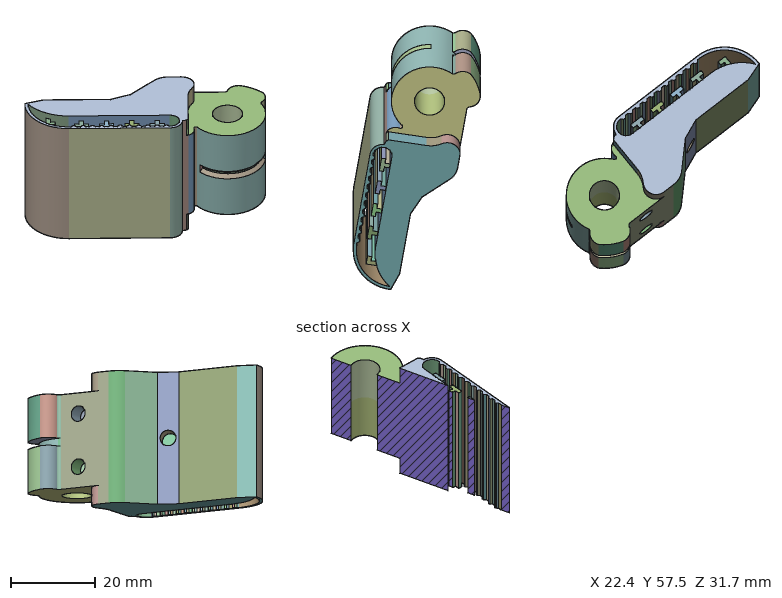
import cadquery as cq
import math

blade_tilt = math.radians(18)

blade_height = 31.7
arm_height = 22.75
grip_recess = 1.5

knuckle_radius = 9.0
bore_diameter = 7.1
tab_radius = 12.05
tab_start_angle = 117
tab_end_angle = 145.7
tab_foot_along = 0.85
tab_foot_angle = 100
neck_angle = -70.7

tab_foot_middle = (-8.75, 2.4)
tab_left_start = (-8.95, 3.0)
tab_left_middle = (-10.35, 5.25)
tab_right_middle = (-3.5, 10.65)
tab_right_end = (-2.1, 9.35)
tab_fillet_middle = (-1.9, 9.1)
notch_middle = (2.65, -8.85)
shoulder_start = (3.0, -9.4)
shoulder_middle = (4.65, -10.1)
shoulder_end = (5.35, -11.45)
shoulder_bottom = -13.05

slot_height = 1.9
groove_depth = 0.85
groove_floor = 0.4
groove_start_angle = -65
groove_sweep = 130

blade_top = 9.35
nose_radius = 3.05
nose_along = 10.85
nose_blend_radius = 6.3
flank_end_along = 13.75
strap_thickness = 0.75
pocket_radius = 2.25
pocket_along = 13.75
bend_along = 37.6

heel = (-13.4, -46.05)
heel_top = -41.3
waist_bottom = (-8.5, -26.25)
waist_top = (-8.9, -21.15)
hip_end = (-12.5, -14.15)
hip_middle = (-13.1, -11.85)
top_edge_end = (5.05, -11.5)
top_corner_bottom = -12.05
pocket_curve_middle = (-7.65, -42.05)
pocket_tip = (-12.75, -45.4)

grip_count = 4
grip_first = 16.7
grip_pitch = 6.0
grip_length = 3.35
grip_thickness = 1.05
last_grip_top = 40.8
last_grip_bottom = 42.95
last_grip_outer = 8.15
last_stem_root = 4.6
stem_overlap = 0.6

tooth_count = 11
tooth_first = 14.6
tooth_pitch = 2.2
tooth_height = 0.5
tooth_base = 1.3
tooth_tip = 0.5

hole_diameter = 3.75
hole_depth = 4.5
arm_hole_along = 5.4
arm_hole_spacing = 12.75

flank = -knuckle_radius
pocket_wall = knuckle_radius - pocket_radius
strap_inner = knuckle_radius + pocket_radius
strap_outer = strap_inner + strap_thickness


def blade_point(across, along):
    """Convert blade coordinates to X, Y."""
    x = across * math.cos(blade_tilt) - along * math.sin(blade_tilt)
    y = -across * math.sin(blade_tilt) - along * math.cos(blade_tilt)
    return (x, y)


def polar(radius, degrees):
    """Point at an angle around the pivot bore."""
    angle = math.radians(degrees)
    return (radius * math.cos(angle), radius * math.sin(angle))


def extrude_centred(outline, height):
    """Extrude a closed outline symmetrically about the mid plane."""
    return outline.close().extrude(height / 2, both=True)


def blade_block(across_1, across_2, along_1, along_2, height):
    """Block aligned with the blade."""
    corners = [
        blade_point(across_1, along_1),
        blade_point(across_2, along_1),
        blade_point(across_2, along_2),
        blade_point(across_1, along_2),
    ]
    return extrude_centred(cq.Workplane("XY").polyline(corners), height)


def blind_hole(mouth, inward, z):
    """Cutter for a blind hole starting at an X, Y mouth and running along inward."""
    start = cq.Vector(*mouth, z)
    direction = cq.Vector(*inward, 0)
    return cq.Workplane(cq.Solid.makeCylinder(hole_diameter / 2, hole_depth, start, direction))


def pivot_arm():
    """Knuckle with its stop tab, reaching down into the blade."""
    tab_middle_angle = (tab_start_angle + tab_end_angle) / 2
    outline = (
        cq.Workplane("XY")
        .moveTo(*blade_point(flank, flank_end_along))
        .lineTo(*blade_point(flank, tab_foot_along))
        .threePointArc(tab_foot_middle, tab_left_start)
        .threePointArc(tab_left_middle, polar(tab_radius, tab_end_angle))
        .threePointArc(polar(tab_radius, tab_middle_angle), polar(tab_radius, tab_start_angle))
        .threePointArc(tab_right_middle, tab_right_end)
        .threePointArc(tab_fillet_middle, polar(knuckle_radius, tab_foot_angle))
        .threePointArc((knuckle_radius, 0), polar(knuckle_radius, neck_angle))
        .threePointArc(notch_middle, shoulder_start)
        .threePointArc(shoulder_middle, shoulder_end)
        .lineTo(shoulder_end[0], shoulder_bottom)
    )
    return extrude_centred(outline, arm_height)


def blade_body():
    """Blade with its nose, outer strap arc and heel, before the pocket is cut."""
    nose_across = flank + nose_radius
    blend_reach = math.sqrt(
        (nose_radius + nose_blend_radius) ** 2 - (nose_along - blade_top + nose_blend_radius) ** 2
    )
    blend_across = nose_across + blend_reach
    share = nose_radius / (nose_radius + nose_blend_radius)
    blend_rise = blade_top - nose_blend_radius - nose_along
    nose_end = blade_point(nose_across + share * blend_reach, nose_along + share * blend_rise)

    outline = (
        cq.Workplane("XY")
        .moveTo(*heel)
        .lineTo(heel[0], heel_top)
        .lineTo(*waist_bottom)
        .lineTo(*waist_top)
        .lineTo(*hip_end)
        .threePointArc(hip_middle, blade_point(flank, flank_end_along))
        .lineTo(*blade_point(flank, nose_along))
        .tangentArcPoint(nose_end, relative=False)
        .tangentArcPoint(blade_point(blend_across, blade_top), relative=False)
        .lineTo(*top_edge_end)
        .lineTo(shoulder_end[0], top_corner_bottom)
        .lineTo(shoulder_end[0], shoulder_bottom)
        .lineTo(*blade_point(knuckle_radius, pocket_along))
        .lineTo(*blade_point(strap_outer, pocket_along))
        .lineTo(*blade_point(strap_outer, bend_along))
        .tangentArcPoint(heel, relative=False)
    )
    strap_end = cq.Workplane("XY").center(*blade_point(knuckle_radius, pocket_along))
    strap_end = strap_end.circle(strap_outer - knuckle_radius).extrude(blade_height / 2, both=True)
    return extrude_centred(outline, blade_height).union(strap_end)


def pocket():
    """Through pocket between the blade and the strap, ending in a sharp tip at the heel."""
    outline = (
        cq.Workplane("XY")
        .moveTo(*blade_point(pocket_wall, bend_along))
        .lineTo(*blade_point(pocket_wall, pocket_along))
        .threePointArc(
            blade_point(knuckle_radius, pocket_along - pocket_radius),
            blade_point(strap_inner, pocket_along),
        )
        .lineTo(*blade_point(strap_inner, bend_along))
        .tangentArcPoint(pocket_tip, relative=False)
        .threePointArc(pocket_curve_middle, blade_point(pocket_wall, bend_along))
    )
    return extrude_centred(outline, blade_height)


def tooth(along):
    """Tapered tooth on the inside of the strap, rooted in the strap's wall."""
    root = strap_inner + strap_thickness / 2
    tip = strap_inner - tooth_height
    corners = [
        blade_point(root, along - tooth_base / 2),
        blade_point(strap_inner, along - tooth_base / 2),
        blade_point(tip, along - tooth_tip / 2),
        blade_point(tip, along + tooth_tip / 2),
        blade_point(strap_inner, along + tooth_base / 2),
        blade_point(root, along + tooth_base / 2),
    ]
    return extrude_centred(cq.Workplane("XY").polyline(corners), blade_height)


def grip(outer, top, bottom, stem_along, stem_root):
    """T or L shaped grip bar: a bar held off the pocket wall by a stem."""
    height = blade_height - 2 * grip_recess
    bar = blade_block(outer - grip_thickness, outer, top, bottom, height)
    half = grip_thickness / 2
    stem = blade_block(stem_root, outer, stem_along - half, stem_along + half, height)
    return bar.union(stem)


def cable_slot():
    """Slot through the tab, down to the knuckle and, past its tangent, the flank."""
    reach = 2 * tab_radius
    ring = cq.Workplane("XY").circle(reach).circle(knuckle_radius).extrude(slot_height / 2, both=True)
    tab_side = blade_block(-reach, knuckle_radius, -reach, tab_foot_along, slot_height)
    below_tangent = blade_block(flank, 0, 0, tab_foot_along, slot_height)
    return ring.intersect(tab_side).cut(below_tangent)


def knuckle_groove():
    """V groove with 45 degree sides and a narrow floor, on the far side from the tab."""
    outer = knuckle_radius
    floor = outer - groove_depth
    half_floor = groove_floor / 2
    half_mouth = half_floor + groove_depth
    profile = cq.Workplane("XZ").polyline(
        [(floor, -half_floor), (outer, -half_mouth), (outer, half_mouth), (floor, half_floor)]
    )
    ring = profile.close().revolve(groove_sweep, (0, 0, 0), (0, 1, 0))
    return ring.rotate((0, 0, 0), (0, 0, 1), groove_start_angle)


result = pivot_arm().union(blade_body()).cut(pocket())

for index in range(tooth_count):
    result = result.union(tooth(tooth_first + index * tooth_pitch))

stem_root = pocket_wall - stem_overlap
for index in range(grip_count):
    middle = grip_first + index * grip_pitch
    half_length = grip_length / 2
    result = result.union(grip(knuckle_radius, middle - half_length, middle + half_length, middle, stem_root))
last_stem = last_grip_bottom - grip_thickness / 2
result = result.union(grip(last_grip_outer, last_grip_top, last_grip_bottom, last_stem, last_stem_root))

result = result.cut(cq.Workplane("XY").circle(bore_diameter / 2).extrude(arm_height, both=True))
result = result.cut(cable_slot()).cut(knuckle_groove())

across_direction = (math.cos(blade_tilt), -math.sin(blade_tilt))
for z in (-arm_hole_spacing / 2, arm_hole_spacing / 2):
    result = result.cut(blind_hole(blade_point(flank, arm_hole_along), across_direction, z))

waist_mouth = ((waist_top[0] + waist_bottom[0]) / 2, (waist_top[1] + waist_bottom[1]) / 2)
waist_inward = (waist_top[1] - waist_bottom[1], waist_bottom[0] - waist_top[0])
result = result.cut(blind_hole(waist_mouth, waist_inward, 0))